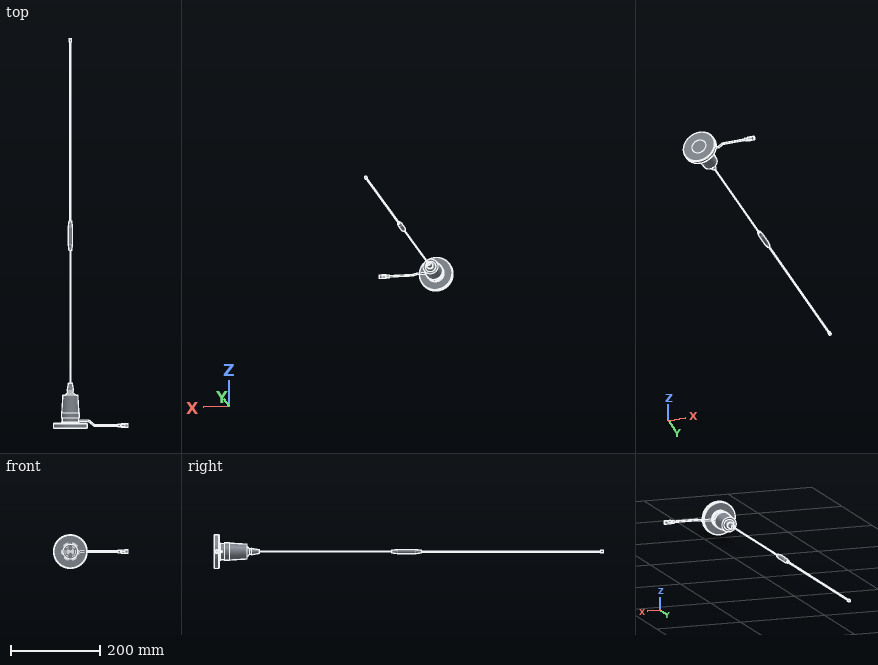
import cadquery as cq

total_length = 874.83
connector_end_x = 129.53

foot_radius = 38.0
foot_height = 12.5
foot_top_bevel_height = 2.4
foot_top_bevel_width = 1.0
foot_bottom_bevel = 1.5
foot_recess_radius = 16.5
foot_recess_depth = 0.3

mount_flange_radius = 19.5
mount_flange_top = 14.5
mount_neck_radius = 18.5
mount_neck_top = 24.0
mount_ring_radius = 20.0
mount_top = 35.0

housing_bottom_radius = 19.5
housing_top_radius = 17.0
housing_top = 75.0
shoulder_bottom_radius = 12.0
shoulder_top_radius = 7.0
shoulder_top = 80.0
housing_neck_radius = 6.5
housing_neck_top = 84.5

ferrule_bottom_radius = 7.5
ferrule_top_radius = 4.5
ferrule_top = 102.0

lower_rod_radius = 1.1
upper_rod_radius = 1.5
coil_bottom = 399.0
coil_top = 466.0
coil_radius = 5.0
coil_taper_length = 13.5
coil_end_radius = 3.2
tip_radius = 3.0
tip_length = 7.0
tip_rounding = 1.0

cable_radius = 1.9
cable_high_y = 17.5
cable_low_y = 6.8
cable_drop_start_x = 41.0
cable_drop_end_x = 54.0

bead_start_x = 107.0
bead_end_x = 112.0
bead_radius = 3.3
waist_radius = 2.75
nut_start_x = 114.5
nut_end_x = 123.0
nut_sides = 6
nut_across_corners = 9.0
plug_radius = 4.2


def turned(profile):
    """Solid of revolution about the Y axis from (radius, height) points."""
    return cq.Workplane("XY").polyline(profile).close().revolve(360, (0, 0, 0), (0, 1, 0))


def rod(radius, bottom, top):
    """Round rod along the mast axis."""
    return turned([(0, bottom), (radius, bottom), (radius, top), (0, top)])


def make_foot():
    foot = turned([
        (0, 0),
        (foot_radius - foot_bottom_bevel, 0),
        (foot_radius, foot_bottom_bevel),
        (foot_radius, foot_height - foot_top_bevel_height),
        (foot_radius - foot_top_bevel_width, foot_height),
        (0, foot_height),
    ])
    return foot.cut(rod(foot_recess_radius, 0, foot_recess_depth))


def make_mount():
    return turned([
        (0, foot_height),
        (mount_flange_radius, foot_height),
        (mount_flange_radius, mount_flange_top),
        (mount_neck_radius, mount_flange_top),
        (mount_neck_radius, mount_neck_top),
        (mount_ring_radius, mount_neck_top),
        (mount_ring_radius, mount_top),
        (0, mount_top),
    ])


def make_housing():
    return turned([
        (0, mount_top),
        (housing_bottom_radius, mount_top),
        (housing_top_radius, housing_top),
        (shoulder_bottom_radius, housing_top),
        (shoulder_top_radius, shoulder_top),
        (housing_neck_radius, shoulder_top),
        (housing_neck_radius, housing_neck_top),
        (0, housing_neck_top),
    ])


def make_ferrule():
    return turned([
        (0, housing_neck_top),
        (ferrule_bottom_radius, housing_neck_top),
        (ferrule_top_radius, ferrule_top),
        (0, ferrule_top),
    ])


def make_coil():
    return turned([
        (0, coil_bottom),
        (coil_end_radius, coil_bottom),
        (coil_radius, coil_bottom + coil_taper_length),
        (coil_radius, coil_top - coil_taper_length),
        (coil_end_radius, coil_top),
        (0, coil_top),
    ])


def make_tip():
    return rod(tip_radius, total_length - tip_length, total_length).edges(">Y").fillet(tip_rounding)


def make_cable(mount):
    """Cable that ends against the side of the mount neck."""
    path = cq.Workplane("XY").moveTo(0, cable_high_y)
    path = path.lineTo(cable_drop_start_x, cable_high_y)
    path = path.lineTo(cable_drop_end_x, cable_low_y)
    path = path.lineTo(bead_start_x, cable_low_y)
    section = cq.Workplane("YZ").center(cable_high_y, 0).circle(cable_radius)
    return section.sweep(path, transition="round").cut(mount)


def make_connector():
    axis_start = cq.Workplane("YZ").center(cable_low_y, 0)

    def barrel(start, end, radius):
        return axis_start.workplane(offset=start).circle(radius).extrude(end - start)

    bead = barrel(bead_start_x, bead_end_x, bead_radius)
    waist = barrel(bead_end_x, nut_start_x, waist_radius)
    nut_start = axis_start.workplane(offset=nut_start_x)
    nut = nut_start.polygon(nut_sides, nut_across_corners).extrude(nut_end_x - nut_start_x)
    plug = barrel(nut_end_x, connector_end_x, plug_radius)
    return bead.union(waist).union(nut).union(plug)


foot = make_foot()
mount = make_mount()
housing = make_housing()
ferrule = make_ferrule()
lower_rod = rod(lower_rod_radius, ferrule_top, coil_bottom)
coil = make_coil()
upper_rod = rod(upper_rod_radius, coil_top, total_length - tip_length)
tip = make_tip()
cable = make_cable(mount)
connector = make_connector()

bodies = [foot, mount, housing, ferrule, lower_rod, coil, upper_rod, tip, cable, connector]
result = cq.Compound.makeCompound([body.val() for body in bodies])